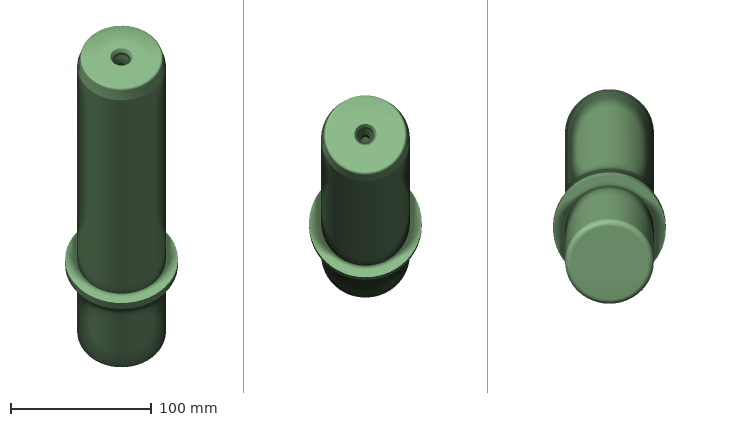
import cadquery as cq
import math

total_length = 315.0
shaft_radius = 31.5
flange_radius = 40.0
flange_bottom = 79.5
flange_thickness = 6.5
flange_top = flange_bottom + flange_thickness
bottom_fillet = 4.0

relief_width = 1.0
relief_depth = 0.15

lead_length = 10.0
lead_top_radius = 29.0
lead_fillet = 2.0
lead_base_blend = 3.0

hole_mouth_radius = 8.0
bore_radius = 6.3
bore_length = 2.8
pilot_radius = 3.0
pilot_length = 6.3
cone_half_angle = math.radians(30)


def pin_body():
    """Stepped pin turned about Z, with rounded ends and a blended lead-in."""
    lead_bottom = total_length - lead_length
    body = (
        cq.Workplane("XZ")
        .moveTo(0, 0)
        .lineTo(shaft_radius, 0)
        .lineTo(shaft_radius, flange_bottom)
        .lineTo(flange_radius, flange_bottom)
        .lineTo(flange_radius, flange_top)
        .lineTo(shaft_radius, flange_top)
        .lineTo(shaft_radius, lead_bottom)
        .lineTo(lead_top_radius, total_length)
        .lineTo(0, total_length)
        .close()
        .revolve(360, (0, 0, 0), (0, 1, 0))
    )
    body = body.faces("<Z").edges().fillet(bottom_fillet)
    body = body.faces(">Z").edges().fillet(lead_fillet)
    lead_base_edge = cq.selectors.NearestToPointSelector((0, 0, lead_bottom))
    return body.edges(lead_base_edge).fillet(lead_base_blend)


def flange_relief(start_height):
    """Ring cutter for a shallow relief groove around the shaft."""
    return (
        cq.Workplane("XY", origin=(0, 0, start_height))
        .circle(shaft_radius)
        .circle(shaft_radius - relief_depth)
        .extrude(relief_width)
    )


def centre_hole():
    """Cutter for a centre-drilled hole: 60 degree mouth, straight bore, second cone and blind pilot."""
    bore_top = total_length - (hole_mouth_radius - bore_radius) / math.tan(cone_half_angle)
    bore_bottom = bore_top - bore_length
    pilot_top = bore_bottom - (bore_radius - pilot_radius) / math.tan(cone_half_angle)
    pilot_bottom = pilot_top - pilot_length
    return (
        cq.Workplane("XZ")
        .moveTo(0, total_length)
        .lineTo(hole_mouth_radius, total_length)
        .lineTo(bore_radius, bore_top)
        .lineTo(bore_radius, bore_bottom)
        .lineTo(pilot_radius, pilot_top)
        .lineTo(pilot_radius, pilot_bottom)
        .lineTo(0, pilot_bottom)
        .close()
        .revolve(360, (0, 0, 0), (0, 1, 0))
    )


result = pin_body().cut(centre_hole())
for relief_start in (flange_bottom - relief_width, flange_top):
    result = result.cut(flange_relief(relief_start))